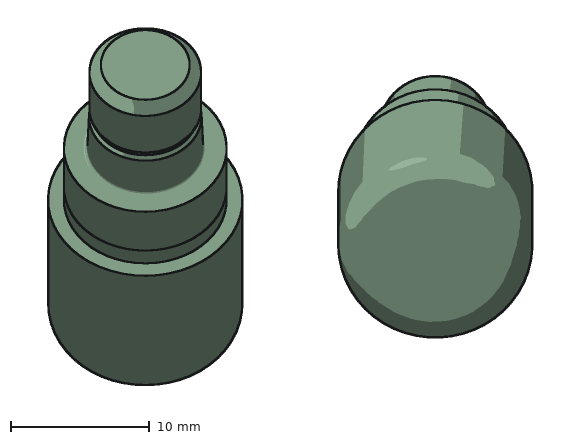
import cadquery as cq
import math

total_height = 29.6
knob_height = 14.0
split_height = 15.48
collar_top = 19.98
taper_top = 23.62

knob_radius = knob_height / 2
knob_edge_radius = 2.0
collar_radius = 5.85

taper_bottom_radius = 4.17
flare_size = 0.27
taper_top_radius = 4.05

groove_radius = 3.8
groove_bottom = 23.92
groove_top = 24.18

tip_radius = 4.03
tip_bottom = 24.55
tip_chamfer = 0.83


def make_knob():
    """Round knob with a rounded lower edge and a short neck on top."""
    knob = cq.Workplane("XY").circle(knob_radius).extrude(knob_height)
    knob = knob.faces("<Z").edges().fillet(knob_edge_radius)
    neck = (
        cq.Workplane("XY")
        .workplane(offset=knob_height)
        .circle(collar_radius)
        .extrude(split_height - knob_height)
    )
    return knob.union(neck)


def make_pin():
    """Collar, flared taper, groove and chamfered tip, revolved about Z."""
    flare_radius = taper_bottom_radius + flare_size
    flare_top = collar_top + flare_size
    flare_offset = flare_size * math.sqrt(0.5)
    flare_middle = (flare_radius - flare_offset, flare_top - flare_offset)

    profile = (
        cq.Workplane("XZ")
        .moveTo(0, split_height)
        .lineTo(collar_radius, split_height)
        .lineTo(collar_radius, collar_top)
        .lineTo(flare_radius, collar_top)
        .threePointArc(flare_middle, (taper_bottom_radius, flare_top))
        .lineTo(taper_top_radius, taper_top)
        .lineTo(groove_radius, groove_bottom)
        .lineTo(groove_radius, groove_top)
        .lineTo(tip_radius, tip_bottom)
        .lineTo(tip_radius, total_height - tip_chamfer)
        .lineTo(tip_radius - tip_chamfer, total_height)
        .lineTo(0, total_height)
        .close()
    )
    return profile.revolve(360, (0, 0), (0, 1))


knob = make_knob()
pin = make_pin()

result = cq.Compound.makeCompound([knob.val(), pin.val()])